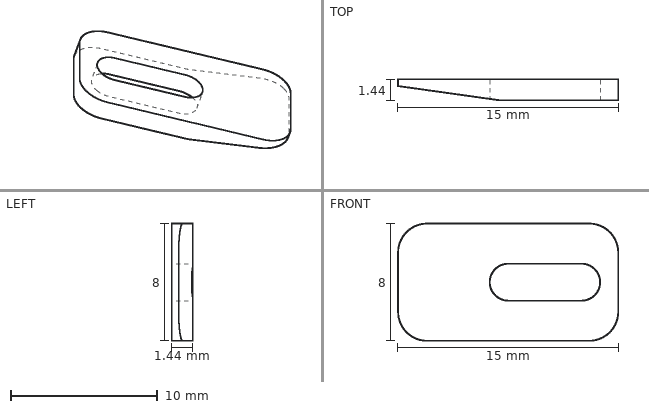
import cadquery as cq

length = 15.0
thickness = 1.44
height = 8.0
corner_radius = 2.0

tip_thickness = 0.48
taper_length = 6.85

slot_length = 7.5
slot_width = 2.5
slot_end_margin = 1.25

left = -length / 2
right = length / 2
front = -thickness / 2
back = thickness / 2
slot_center_x = right - slot_end_margin - slot_length / 2


def tapered_bar():
    """Wedge-ended profile in XY, extruded over the full height."""
    profile = [
        (left, back),
        (right, back),
        (right, front),
        (left + taper_length, front),
        (left, back - tip_thickness),
    ]
    return cq.Workplane("XY").polyline(profile).close().extrude(height / 2, both=True)


def round_corners(body):
    """Round the four corners of the plate outline."""
    return body.edges("|Y").fillet(corner_radius)


def slot_cutter():
    """Round-ended slot running along X, through the whole thickness."""
    return (
        cq.Workplane("XZ")
        .center(slot_center_x, 0)
        .slot2D(slot_length, slot_width)
        .extrude(thickness, both=True)
    )


result = round_corners(tapered_bar()).cut(slot_cutter())